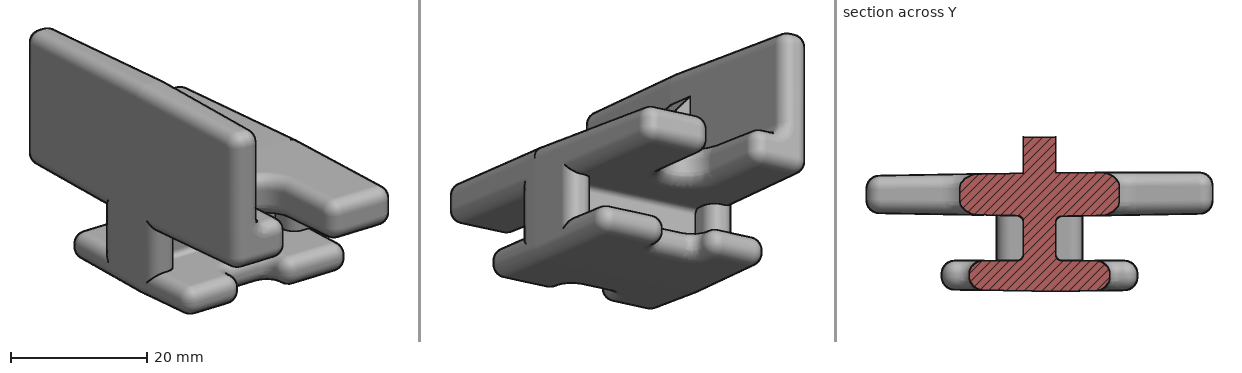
import cadquery as cq

width = 50.8
depth = 30.2
height = 33.3

draft_angle = 1.0
web_thickness = 4.8
parting_x = web_thickness / 2

plate_bottom = 11.0
plate_top = 17.5
wall_thickness = 5.65
wall_root_radius = 1.6

foot_thickness = 4.55
foot_width = 28.75
neck_width = 12.65
post_depth = 4.6

slot_radius = 3.95
slot_gap = 20.3
slot_y = 14.3
notch_corner_radius = 1.6

gusset_leg = 10.7
edge_radius = 2.0
web_root_radius = 0.9


def drafted_bar(outline, length):
    """Extrude a closed (Y, Z) outline along +X from the parting plane, narrowing with the draft."""
    return cq.Workplane("YZ").polyline(outline).close().extrude(length, taper=draft_angle)


def rectangle(y_min, y_max, z_min, z_max):
    return [(y_min, z_min), (y_max, z_min), (y_max, z_max), (y_min, z_max)]


def box(x_min, x_max, y_min, y_max, z_min, z_max):
    size = (x_max - x_min, y_max - y_min, z_max - z_min)
    return cq.Workplane("XY").box(*size, centered=False).translate((x_min, y_min, z_min))


def round_outer_edges(body):
    """Round every edge except those lying in the parting plane."""
    parting_edges = body.faces("<X").edges().vals()
    edges = [e for e in body.edges().vals() if not any(e.isSame(p) for p in parting_edges)]
    return body.newObject(edges).fillet(edge_radius)


def flat_topped_bar(z_min, z_max, length):
    """Full-depth drafted bar whose top face alone stays level: made too tall, then trimmed."""
    bar = drafted_bar(rectangle(0, depth, z_min, height), length)
    return bar.intersect(box(0, length, 0, depth, z_min, z_max))


def upper_half(length, slot_end, level_top):
    if level_top:
        plate = flat_topped_bar(plate_bottom, plate_top, length)
    else:
        plate = drafted_bar(rectangle(0, depth, plate_bottom, plate_top), length)
    wall = drafted_bar(rectangle(0, wall_thickness, plate_bottom, height), length)
    body = plate.union(wall)
    root_corner = cq.selectors.NearestToPointSelector((length / 2, wall_thickness, plate_top))
    body = body.edges(root_corner).fillet(wall_root_radius)

    slot_centre = slot_end + slot_radius
    slot = box(slot_centre, length, slot_y - slot_radius, slot_y + slot_radius, 0, height)
    slot_round = cq.Workplane("XY").center(slot_centre, slot_y).circle(slot_radius).extrude(height)
    return round_outer_edges(body.cut(slot).cut(slot_round))


def foot_half(length, notch_end):
    body = flat_topped_bar(0, foot_thickness, length)
    notch = box(notch_end, length, slot_y - slot_radius, slot_y + slot_radius, 0, foot_thickness)
    notch = notch.edges("|Z and <X").fillet(notch_corner_radius)
    return round_outer_edges(body.cut(notch))


def neck_half(length, web_side):
    """Front and back posts joined by the web, reaching into the middle of the foot and plate."""
    z_min = foot_thickness / 2
    z_max = (plate_bottom + plate_top) / 2
    bar = drafted_bar(rectangle(0, depth, z_min, z_max), length)
    pocket = box(web_side, length, post_depth, depth - post_depth, 0, height)
    body = bar.cut(pocket)
    far_edges = body.faces(">X").edges("not(|Y)")
    return far_edges.fillet(edge_radius)


def half(parting_offset, level_top):
    """Everything on one side of the parting plane, built along +X with that plane at X = 0."""
    upper = upper_half(width / 2 + parting_offset, slot_gap / 2 + parting_offset, level_top)
    foot = foot_half(foot_width / 2 + parting_offset, slot_gap / 2 + parting_offset)
    neck = neck_half(neck_width / 2 + parting_offset, web_thickness / 2 + parting_offset)
    return upper.union(foot).union(neck)


def gusset():
    overlap = wall_thickness / 2
    outline = [
        (wall_thickness + gusset_leg + overlap, plate_top - overlap),
        (wall_thickness - overlap, plate_top + gusset_leg + overlap),
        (wall_thickness - overlap, plate_top - overlap),
    ]
    rib = cq.Workplane("YZ").polyline(outline).close().extrude(web_thickness)
    return rib.translate((-web_thickness / 2, 0, 0))


def round_web_roots(body):
    """Fillet the web into the plate and foot along both sides of the neck."""
    reach = 0.25
    for side in (-web_thickness / 2, web_thickness / 2):
        for level in (foot_thickness, plate_bottom):
            low = (side - reach, post_depth - reach, level - reach)
            high = (side + reach, depth - post_depth + reach, level + reach)
            roots = body.edges(cq.selectors.BoxSelector(low, high, boundingbox=True)).edges("|Y")
            body = roots.fillet(web_root_radius)
    return body


right_half = half(-parting_x, level_top=True).translate((parting_x, 0, 0))
left_half = half(parting_x, level_top=False).mirror("YZ").translate((parting_x, 0, 0))
body = left_half.union(right_half).union(gusset())
result = round_web_roots(body)